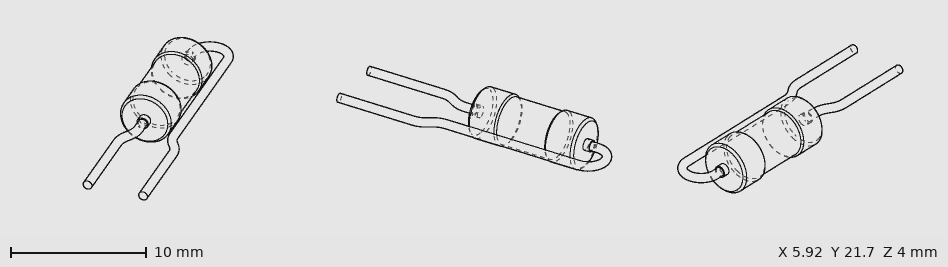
import math

import cadquery as cq


body_length = 9.0
body_radius = 1.85
cap_radius = 2.0
cap_length = 2.5
cap_chamfer = 0.2

collar_radius = 0.45
collar_length = 0.5

wire_radius = 0.35
return_spacing = 2.775
return_bend_y = 5.5
jog_start_y = -5.84
jog_offset = 0.795
jog_bend_radius = 1.865
jog_bend_angle = math.radians(32.5)
lead_end_y = -14.5

half_length = body_length / 2
collar_end_y = half_length + collar_length
return_bend_radius = return_spacing / 2
jog_bend_shift = jog_bend_radius * (1 - math.cos(jog_bend_angle))
jog_bend_drop = jog_bend_radius * math.sin(jog_bend_angle)
jog_straight_shift = jog_offset - 2 * jog_bend_shift
jog_straight_drop = jog_straight_shift / math.tan(jog_bend_angle)
jog_end_y = jog_start_y - 2 * jog_bend_drop - jog_straight_drop


def cylinder_along_y(radius, start_y, length):
    """Cylinder on the Y axis running from start_y towards +Y."""
    return cq.Workplane("XZ", origin=(0, start_y, 0)).circle(radius).extrude(-length)


def make_cap(start_y):
    """End cap with both rims chamfered."""
    return cylinder_along_y(cap_radius, start_y, cap_length).edges("%CIRCLE").chamfer(cap_chamfer)


def make_body():
    """Core held clear of the chamfered end rims, two end caps, and collars from one through rod."""
    core = cylinder_along_y(body_radius, -half_length + cap_chamfer, body_length - 2 * cap_chamfer)
    caps = make_cap(-half_length).union(make_cap(half_length - cap_length))
    collars = cylinder_along_y(collar_radius, -collar_end_y, 2 * collar_end_y)
    return core.union(caps).union(collars)


def add_jogged_end(path, x, side):
    """Continue a path heading -Y at x with a sideways jog (side = +1 or -1) and a straight end."""
    half_angle = jog_bend_angle / 2
    mid_shift = jog_bend_radius * (1 - math.cos(half_angle))
    mid_drop = jog_bend_radius * math.sin(half_angle)
    end_x = x + side * jog_offset
    first_bend_end = (x + side * jog_bend_shift, jog_start_y - jog_bend_drop)
    second_bend_start = (end_x - side * jog_bend_shift, jog_end_y + jog_bend_drop)
    return (
        path.lineTo(x, jog_start_y)
        .threePointArc((x + side * mid_shift, jog_start_y - mid_drop), first_bend_end)
        .lineTo(*second_bend_start)
        .threePointArc((end_x - side * mid_shift, jog_end_y + mid_drop), (end_x, jog_end_y))
        .lineTo(end_x, lead_end_y)
    )


def sweep_wire(start_y, path):
    """Round wire swept along a path that starts on the body axis at start_y."""
    return cq.Workplane("XZ", origin=(0, start_y, 0)).circle(wire_radius).sweep(path)


def make_straight_lead():
    """Lead leaving the -Y end and jogging towards -X."""
    path = cq.Workplane("XY").moveTo(0, -half_length)
    return sweep_wire(-half_length, add_jogged_end(path, 0, -1))


def make_return_lead():
    """Lead leaving the +Y end, folded back past the body and jogging towards +X."""
    path = (
        cq.Workplane("XY")
        .moveTo(0, half_length)
        .lineTo(0, return_bend_y)
        .threePointArc(
            (return_bend_radius, return_bend_y + return_bend_radius),
            (return_spacing, return_bend_y),
        )
    )
    return sweep_wire(half_length, add_jogged_end(path, return_spacing, 1))


result = make_body().union(make_straight_lead()).union(make_return_lead())